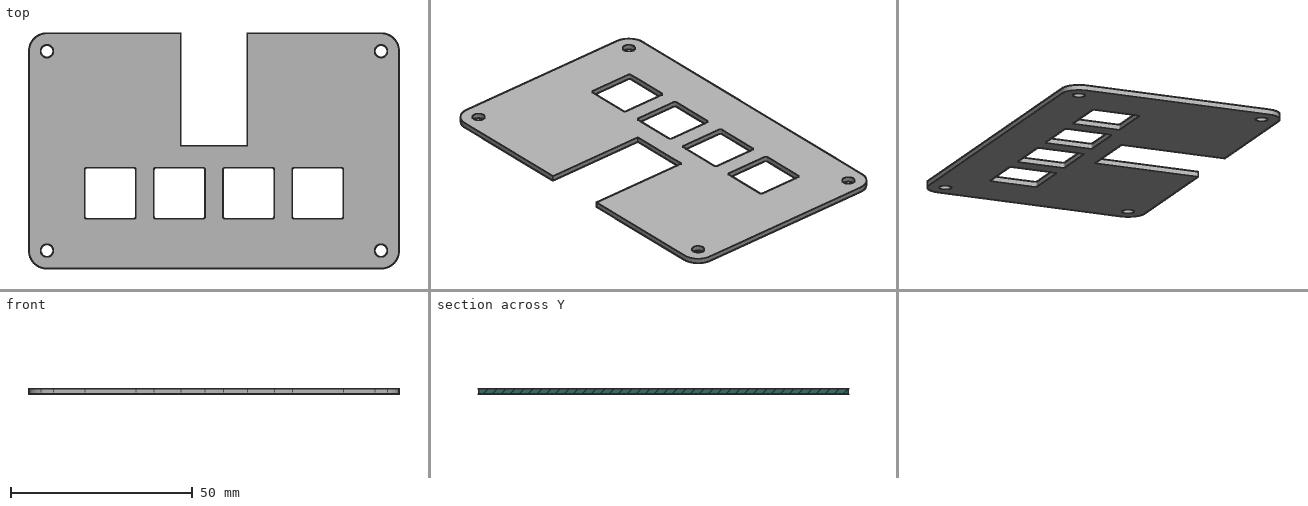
import cadquery as cq

plate_length = 102.0
plate_width = 64.9
plate_thickness = 1.5
corner_radius = 5.0

screw_hole_diameter = 3.4
screw_hole_inset = 5.0

notch_width = 18.2
notch_depth = 31.0

key_count = 4
key_pitch = 19.05
key_window_size = 14.0
key_window_radius = 0.5
key_row_y = -11.65


def make_plate():
    """Flat plate with rounded vertical corners."""
    plate = cq.Workplane("XY").box(plate_length, plate_width, plate_thickness, centered=(True, True, False))
    return plate.edges("|Z").fillet(corner_radius)


def make_screw_holes():
    """Cylinders that cut the through hole near each corner."""
    hole_spacing_x = plate_length - 2 * screw_hole_inset
    hole_spacing_y = plate_width - 2 * screw_hole_inset
    return (
        cq.Workplane("XY")
        .rect(hole_spacing_x, hole_spacing_y, forConstruction=True)
        .vertices()
        .circle(screw_hole_diameter / 2)
        .extrude(plate_thickness)
    )


def make_notch():
    """Block that cuts the plug notch from the middle of the +Y edge."""
    notch_center_y = plate_width / 2 - notch_depth / 2
    return cq.Workplane("XY").center(0, notch_center_y).rect(notch_width, notch_depth).extrude(plate_thickness)


def make_key_windows():
    """Blocks with rounded corners that cut the evenly spaced key windows."""
    return (
        cq.Workplane("XY")
        .center(0, key_row_y)
        .rarray(key_pitch, key_pitch, key_count, 1)
        .rect(key_window_size, key_window_size)
        .extrude(plate_thickness)
        .edges("|Z")
        .fillet(key_window_radius)
    )


result = make_plate().cut(make_screw_holes()).cut(make_notch()).cut(make_key_windows())